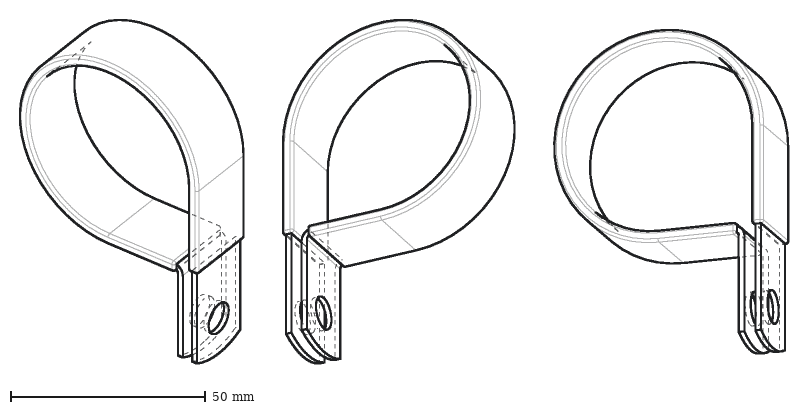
import cadquery as cq

loop_radius = 28.5
cushion_thickness = 3.1
cushion_width = 20.6
cushion_round = 0.8
cushion_drop = 26.2
cushion_reach = 21.15

strip_thickness = 1.5
strip_width = 18.9
bent_leg_outer_x = 23.2
bend_inner_radius = 1.3
tip_sagitta = 2.2
hole_diameter = 8.7
hole_to_tip = 11.1

overall_height = 85.6
tip_z = loop_radius - overall_height
mid_radius = loop_radius - cushion_thickness / 2
bend_outer_radius = bend_inner_radius + strip_thickness
bend_x = bent_leg_outer_x - bend_outer_radius
strip_outer_radius = mid_radius + strip_thickness / 2
strip_inner_radius = mid_radius - strip_thickness / 2
bend_z = -strip_inner_radius - bend_outer_radius


def extrude_centered(outline, width):
    """Extrude an XZ outline symmetrically about Y = 0."""
    return outline.extrude(width / 2, both=True)


def loop_outline(outer, inner, right_end_z, bottom_end_x):
    """Three-quarter loop with a straight run down and a straight run to the right."""
    diagonal = 0.5 ** 0.5
    return (
        cq.Workplane("XZ")
        .moveTo(outer, right_end_z)
        .lineTo(outer, 0)
        .threePointArc((-outer * diagonal, outer * diagonal), (0, -outer))
        .lineTo(bottom_end_x, -outer)
        .lineTo(bottom_end_x, -inner)
        .lineTo(0, -inner)
        .threePointArc((-inner * diagonal, inner * diagonal), (inner, 0))
        .lineTo(inner, right_end_z)
        .close()
    )


def make_cushion():
    outline = loop_outline(loop_radius, loop_radius - cushion_thickness, -cushion_drop, cushion_reach)
    return extrude_centered(outline, cushion_width).edges().fillet(cushion_round)


def make_bent_leg():
    """Quarter bend at the end of the lower run, followed by a leg down to the tip."""
    outline = (
        cq.Workplane("XZ")
        .moveTo(bend_x, -strip_inner_radius)
        .radiusArc((bent_leg_outer_x, bend_z), bend_outer_radius)
        .lineTo(bent_leg_outer_x, tip_z)
        .lineTo(bent_leg_outer_x - strip_thickness, tip_z)
        .lineTo(bent_leg_outer_x - strip_thickness, bend_z)
        .radiusArc((bend_x, -strip_outer_radius), -bend_inner_radius)
        .close()
    )
    return extrude_centered(outline, strip_width)


def make_leg_shape():
    """Solid along X bounding both legs: rounded tip below and a bolt hole through."""
    half_width = strip_width / 2
    profile = (
        cq.Workplane("YZ")
        .moveTo(-half_width, loop_radius)
        .lineTo(-half_width, tip_z + tip_sagitta)
        .threePointArc((0, tip_z), (half_width, tip_z + tip_sagitta))
        .lineTo(half_width, loop_radius)
        .close()
        .extrude(loop_radius, both=True)
    )
    hole = (
        cq.Workplane("YZ")
        .center(0, tip_z + hole_to_tip)
        .circle(hole_diameter / 2)
        .extrude(loop_radius, both=True)
    )
    return profile.cut(hole)


strip_loop = extrude_centered(
    loop_outline(strip_outer_radius, strip_inner_radius, tip_z, bend_x), strip_width
)
strip = strip_loop.union(make_bent_leg()).intersect(make_leg_shape())
result = make_cushion().union(strip)